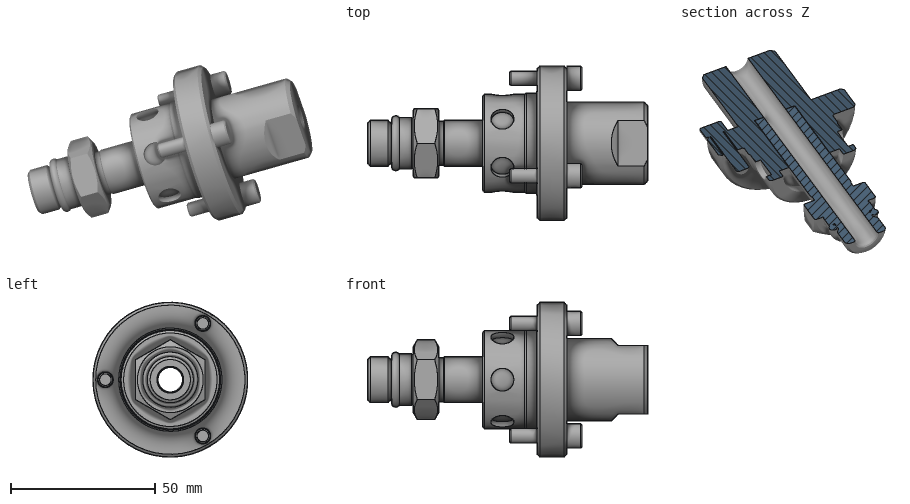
import cadquery as cq
import math


total_length = 97.1
bore_dia = 8.5
shaft_dia = 15.97

end_chamfer = 1.0
bore_chamfer = 0.4
thread_end = 7.05
relief_dia = 13.5
relief_taper = (shaft_dia - relief_dia) / 2
seal_radius = 1.45
seal_centre_x = 9.75
seal_outer_dia = 19.1
seal_ring_radius = seal_outer_dia / 2 - seal_radius
collar_start = 11.05
collar_dia = 17.99
undercut_dia = 17.6
undercut_width = 0.6
hex_start = 15.8
hex_end = 24.65
hex_flats = 24.0
hex_face_dia = 22.8
hex_chamfer_angle = 30
neck_dia = 15.3
neck_end = 26.3
neck_taper = (shaft_dia - neck_dia) / 2

barrel_start = 39.85
barrel_dia = 34.1
barrel_chamfer_length = 0.6
barrel_chamfer_depth = 0.85
recess_dia = 23.4
recess_depth = 3.0
pilot_start = 54.4
pilot_dia = 34.82
pilot_lead = 0.6
shoulder_dia = 35.8
shoulder_width = 0.3

spanner_hole_dia = 7.9
spanner_hole_count = 6
spanner_hole_depth = 2.0
spanner_hole_x = 46.7

flange_start = 58.75
flange_end = 69.0
flange_dia = 53.7
flange_chamfer = 1.0
screw_count = 3
screw_circle_radius = 22.5
screw_dia = 5.0
screw_hole_dia = 5.5
screw_start = 49.1
screw_tip_chamfer = 0.5
head_dia = 8.5
head_length = 5.3
head_chamfer = 0.5

rear_dia = 28.6
rear_chamfer = 1.3
flat_start = 86.8
flats_width = 23.8

rotor_end = flange_end


def cylinder(start, end, diameter, y=0.0, z=0.0):
    """Cylinder along X between two stations."""
    section = cq.Workplane("YZ", origin=(start, y, z)).circle(diameter / 2)
    return section.extrude(end - start)


def turned(profile):
    """Solid of revolution about X from (station, radius) points."""
    points = [(profile[0][0], 0)] + profile + [(profile[-1][0], 0)]
    return cq.Workplane("XY").polyline(points).close().revolve(360, (0, 0), (1, 0))


def hexagon():
    """Hexagon with corners on +-Z, both faces chamfered by a cone."""
    corner_dia = hex_flats / math.cos(math.pi / 6)
    corner_height = (corner_dia - hex_face_dia) / 2
    cone_length = corner_height * math.tan(math.radians(hex_chamfer_angle))
    prism = (
        cq.Workplane("YZ", origin=(hex_start, 0, 0))
        .transformed(rotate=(0, 0, 90))
        .polygon(6, corner_dia)
        .extrude(hex_end - hex_start)
    )
    envelope = turned([
        (hex_start, hex_face_dia / 2),
        (hex_start + cone_length, corner_dia / 2),
        (hex_end - cone_length, corner_dia / 2),
        (hex_end, hex_face_dia / 2),
    ])
    return prism.intersect(envelope)


def seal_ring():
    """O-ring moulded into the relief, bedded slightly into its floor and the collar."""
    section = cq.Workplane("XY").center(seal_centre_x, seal_ring_radius).circle(seal_radius)
    return section.revolve(360, (-seal_centre_x, -seal_ring_radius), (1 - seal_centre_x, -seal_ring_radius))


def make_rotor():
    shaft_radius = shaft_dia / 2
    shaft = turned([
        (0, shaft_radius - end_chamfer),
        (end_chamfer, shaft_radius),
        (thread_end, shaft_radius),
        (thread_end + relief_taper, relief_dia / 2),
        (collar_start, relief_dia / 2),
        (collar_start, collar_dia / 2),
        (hex_start - undercut_width, collar_dia / 2),
        (hex_start - undercut_width, undercut_dia / 2),
        (hex_end, undercut_dia / 2),
        (hex_end, neck_dia / 2),
        (neck_end, neck_dia / 2),
        (neck_end + neck_taper, shaft_radius),
        (rotor_end, shaft_radius),
    ])
    bore = turned([
        (0, bore_dia / 2 + bore_chamfer),
        (bore_chamfer, bore_dia / 2),
        (rotor_end, bore_dia / 2),
    ])
    return shaft.union(hexagon()).union(seal_ring()).cut(bore)


def spanner_hole(angle):
    """Blind radial hole at an angle from +Y towards +Z, its floor concentric with the barrel."""
    hole = (
        cq.Workplane("XZ", origin=(spanner_hole_x, 0, 0))
        .circle(spanner_hole_dia / 2)
        .extrude(-barrel_dia)
    )
    core_dia = barrel_dia - 2 * spanner_hole_depth
    hole = hole.cut(cylinder(barrel_start, flange_start, core_dia))
    return hole.rotate((0, 0, 0), (1, 0, 0), angle)


def wrench_flat_cutter():
    """Material above the +Z flat, ending in a 45 degree run-out."""
    flat_height = flats_width / 2
    rise = rear_dia / 2
    side = [
        (flat_start, flat_height),
        (total_length, flat_height),
        (total_length, flat_height + rise),
        (flat_start - rise, flat_height + rise),
    ]
    return cq.Workplane("XZ").polyline(side).close().extrude(rear_dia / 2, both=True)


def screw(y, z):
    """Clamping screw, its head seated on the rear face of the flange."""
    shank = cylinder(screw_start, flange_end, screw_dia, y, z).faces("<X").chamfer(screw_tip_chamfer)
    head = cylinder(flange_end, flange_end + head_length, head_dia, y, z).faces(">X").chamfer(head_chamfer)
    return shank.union(head)


def make_housing():
    housing = turned([
        (barrel_start, barrel_dia / 2 - barrel_chamfer_depth),
        (barrel_start + barrel_chamfer_length, barrel_dia / 2),
        (pilot_start, barrel_dia / 2),
        (pilot_start + pilot_lead, pilot_dia / 2),
        (flange_start - shoulder_width, pilot_dia / 2),
        (flange_start - shoulder_width, shoulder_dia / 2),
        (flange_start, shoulder_dia / 2),
        (flange_start, flange_dia / 2 - flange_chamfer),
        (flange_start + flange_chamfer, flange_dia / 2),
        (flange_end - flange_chamfer, flange_dia / 2),
        (flange_end, flange_dia / 2 - flange_chamfer),
        (flange_end, rear_dia / 2),
        (total_length - rear_chamfer, rear_dia / 2),
        (total_length, rear_dia / 2 - rear_chamfer),
    ])

    housing = housing.cut(cylinder(barrel_start, barrel_start + recess_depth, recess_dia))
    housing = housing.cut(cylinder(barrel_start, rotor_end, shaft_dia))
    housing = housing.cut(cylinder(rotor_end, total_length, bore_dia))

    flat = wrench_flat_cutter()
    housing = housing.cut(flat).cut(flat.mirror("XY"))

    for index in range(spanner_hole_count):
        housing = housing.cut(spanner_hole(index * 360 / spanner_hole_count))

    for index in range(screw_count):
        angle = index * 2 * math.pi / screw_count
        y = screw_circle_radius * math.cos(angle)
        z = screw_circle_radius * math.sin(angle)
        housing = housing.cut(cylinder(flange_start, flange_end, screw_hole_dia, y, z))
        housing = housing.union(screw(y, z))
    return housing


rotor = make_rotor()
housing = make_housing()

result = cq.Compound.makeCompound([rotor.solids().val(), housing.solids().val()])